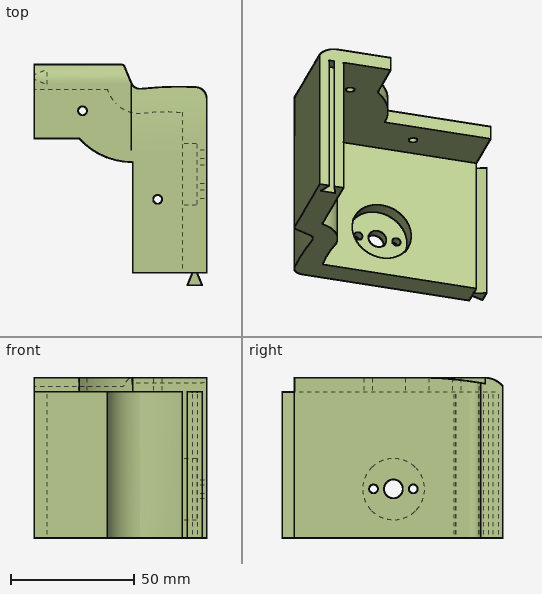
import cadquery as cq
import math

width = 70.0
depth = 89.5
height = 65.0

wall = 10.0
plate_thickness = 5.8
wall_height = height - plate_thickness
tab_depth = 5.0
leg_front = tab_depth
right_wall_inner = width - wall
back_wall_inner = depth - wall

step_angle = math.radians(22.5)
inner_bend_angle = math.radians(25)
bend_x = 42.85
bend_inner_y = 69.6
bend_inner_radius = 13.8
bend_outer_radius = bend_inner_radius - wall
bend_y = bend_inner_y + bend_inner_radius
step_edge_radius = 1.3
wave_peak_x = 54.6
wave_rise = 0.8
wave_end_rise = 0.45
outer_corner_radius = 4.8

plate_left_front = 59.4
plate_arc_start_x = 18.25
plate_leg_x = 39.9
plate_arc_front = 49.8

crown_left = 39.3
crown_front = 54.9
crown_drop = 2.7
edge_round_run = 7.4
edge_round_drop = 3.6

tab_x = 65.0
groove_y = 84.45
dovetail_neck = 2.0
dovetail_base = 6.1

small_hole_diameter = 3.5
plate_holes = [(19.6, 70.7), (50.0, 34.8)]
recess_y = 45.1
recess_z = 19.95
recess_diameter = 25.0
recess_depth = 6.0
shaft_hole_diameter = 7.5
screw_hole_spacing = 16.1


def bend_point(radius, angle):
    """Point on a bend circle; the angle is measured from its left side."""
    return (bend_x - radius * math.cos(angle), bend_y - radius * math.sin(angle))


def step_x(start, y):
    """X of the slanted step face at a given Y."""
    return start[0] - (y - start[1]) * math.tan(step_angle)


bend_middle_angle = (step_angle + math.pi / 2) / 2
outer_bend_start = bend_point(bend_outer_radius, step_angle)
inner_bend_start = bend_point(bend_inner_radius, inner_bend_angle)


def back_outline(front_left):
    """Start an outline at its front left corner and run it around the back to the front right."""
    back_y = bend_y - bend_outer_radius
    return (
        cq.Workplane("XY")
        .moveTo(0, front_left)
        .lineTo(0, depth)
        .lineTo(step_x(outer_bend_start, depth), depth)
        .lineTo(*outer_bend_start)
        .threePointArc(bend_point(bend_outer_radius, bend_middle_angle), (bend_x, back_y))
        .threePointArc((wave_peak_x, back_y + wave_rise), (width, back_y + wave_end_rise))
        .lineTo(width, leg_front)
    )


def make_walls():
    return (
        back_outline(back_wall_inner)
        .lineTo(right_wall_inner, leg_front)
        .lineTo(right_wall_inner, bend_inner_y + wave_end_rise)
        .threePointArc((wave_peak_x, bend_inner_y + wave_rise), (bend_x, bend_inner_y))
        .threePointArc(bend_point(bend_inner_radius, bend_middle_angle), inner_bend_start)
        .lineTo(step_x(inner_bend_start, back_wall_inner), back_wall_inner)
        .close()
        .extrude(height)
    )


def make_plate():
    run = plate_leg_x - plate_arc_start_x
    rise = plate_left_front - plate_arc_front
    radius = (run**2 + rise**2) / (2 * rise)
    half_angle = math.asin(run / radius) / 2
    middle = (
        plate_leg_x - radius * math.sin(half_angle),
        plate_arc_front + radius * (1 - math.cos(half_angle)),
    )
    return (
        back_outline(plate_left_front)
        .lineTo(plate_leg_x, leg_front)
        .lineTo(plate_leg_x, plate_arc_front)
        .threePointArc(middle, (plate_arc_start_x, plate_left_front))
        .lineTo(0, plate_left_front)
        .close()
        .extrude(plate_thickness)
        .translate((0, 0, wall_height))
    )


def falling_top(x_start, x_end, y_start, run, drop):
    """Material above an arc that leaves the top face tangentially and falls toward the back."""
    radius = (run**2 + drop**2) / (2 * drop)
    half_angle = math.asin(run / radius) / 2
    middle = (
        y_start + radius * math.sin(half_angle),
        height - radius * (1 - math.cos(half_angle)),
    )
    return (
        cq.Workplane("YZ", origin=(x_start, 0, 0))
        .moveTo(y_start, height)
        .threePointArc(middle, (y_start + run, height - drop))
        .lineTo(y_start + run, height)
        .close()
        .extrude(x_end - x_start)
    )


def dovetail():
    """Dovetail prism with its neck on the X axis, widening toward -Y."""
    return (
        cq.Workplane("XY")
        .polyline([
            (-dovetail_neck / 2, 0),
            (dovetail_neck / 2, 0),
            (dovetail_base / 2, -tab_depth),
            (-dovetail_base / 2, -tab_depth),
        ])
        .close()
        .extrude(wall_height)
    )


def wall_hole(y, diameter, length):
    """Hole running in +X from the inner face of the right wall."""
    return (
        cq.Workplane("YZ", origin=(right_wall_inner, y, recess_z))
        .circle(diameter / 2)
        .extrude(length)
    )


body = make_walls().union(make_plate()).clean()
outer_corner = (width, bend_y, height / 2)
body = body.edges(cq.selectors.NearestToPointSelector(outer_corner)).fillet(outer_corner_radius)
step_edge = (step_x(outer_bend_start, depth), depth, height / 2)
body = body.edges(cq.selectors.NearestToPointSelector(step_edge)).fillet(step_edge_radius)

body = body.cut(falling_top(0, crown_left, depth - edge_round_run, edge_round_run, edge_round_drop))
crown_run = bend_y - crown_front
body = body.cut(falling_top(crown_left, width, crown_front, crown_run, crown_drop))

body = body.union(dovetail().translate((tab_x, leg_front, 0)))
body = body.cut(dovetail().rotate((0, 0, 0), (0, 0, 1), 90).translate((0, groove_y, 0)))

body = body.cut(
    cq.Workplane("XY").pushPoints(plate_holes).circle(small_hole_diameter / 2).extrude(height)
)

body = body.cut(wall_hole(recess_y, recess_diameter, recess_depth))
body = body.cut(wall_hole(recess_y, shaft_hole_diameter, wall))
for side in (-1, 1):
    body = body.cut(wall_hole(recess_y + side * screw_hole_spacing / 2, small_hole_diameter, wall))

result = body